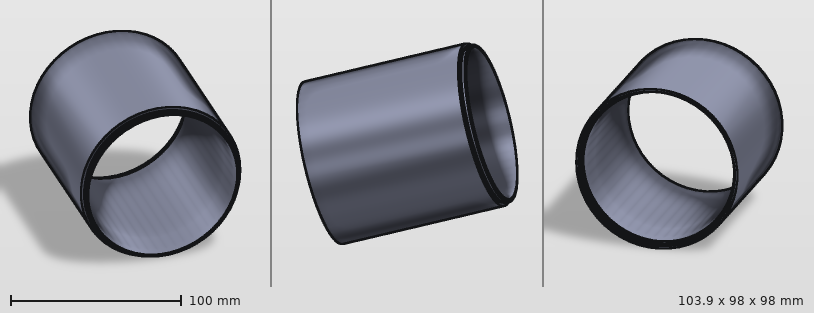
import cadquery as cq

total_length = 103.9
spigot_length = 4.2
outer_diameter = 98.0
bore_diameter = 91.5

neck_diameter = 93.7
bead_diameter = 95.0
neck_length = 0.8
bead_back_length = 0.7
bead_crest_length = 1.9

mouth_diameter = 94.0
mouth_entry_diameter = 95.0
mouth_chamfer_length = 0.5
groove_diameter = 95.2
socket_clearance = 0.1

shoulder_x = total_length - spigot_length
bead_start_x = shoulder_x + neck_length
crest_start_x = bead_start_x + bead_back_length
crest_end_x = crest_start_x + bead_crest_length

socket_depth = spigot_length + socket_clearance


def revolve_about_x(profile):
    """Revolve (x, diameter) points, closed along the axis, into a solid about X."""
    points = [(x, diameter / 2) for x, diameter in profile]
    axis_start = (points[0][0], 0)
    axis_end = (points[-1][0], 0)
    outline = cq.Workplane("XY").polyline([axis_start] + points + [axis_end]).close()
    return outline.revolve(360, (0, 0, 0), (1, 0, 0))


body = revolve_about_x([
    (0, outer_diameter),
    (shoulder_x, outer_diameter),
    (shoulder_x, neck_diameter),
    (bead_start_x, neck_diameter),
    (crest_start_x, bead_diameter),
    (crest_end_x, bead_diameter),
    (total_length, neck_diameter),
])

cavity = revolve_about_x([
    (0, mouth_entry_diameter),
    (mouth_chamfer_length, mouth_diameter),
    (neck_length, mouth_diameter),
    (neck_length + bead_back_length, groove_diameter),
    (crest_end_x - shoulder_x, groove_diameter),
    (spigot_length, mouth_diameter),
    (socket_depth, mouth_diameter),
    (socket_depth, bore_diameter),
    (total_length, bore_diameter),
])

result = body.cut(cavity)